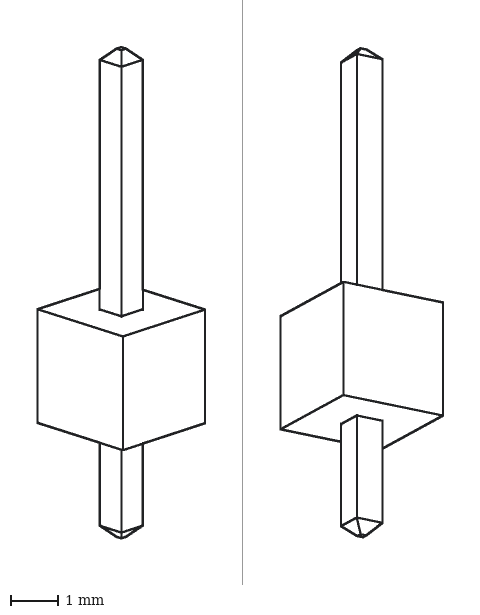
import cadquery as cq

pin_length = 10.92
pin_width = 0.64
tip_chamfer = 0.25

block_x = 2.54
block_y = 2.48
block_height = 2.54
block_bottom = 2.54


def make_pin():
    """Square post with all edges of both end faces chamfered."""
    post = cq.Workplane("XY").rect(pin_width, pin_width).extrude(pin_length)
    return post.faces("<Z or >Z").edges().chamfer(tip_chamfer)


def make_block():
    """Rectangular block with a square through hole that fits the pin."""
    return (
        cq.Workplane("XY")
        .workplane(offset=block_bottom)
        .rect(block_x, block_y)
        .rect(pin_width, pin_width)
        .extrude(block_height)
    )


pin = make_pin()
block = make_block()

result = cq.Compound.makeCompound([pin.val(), block.val()])